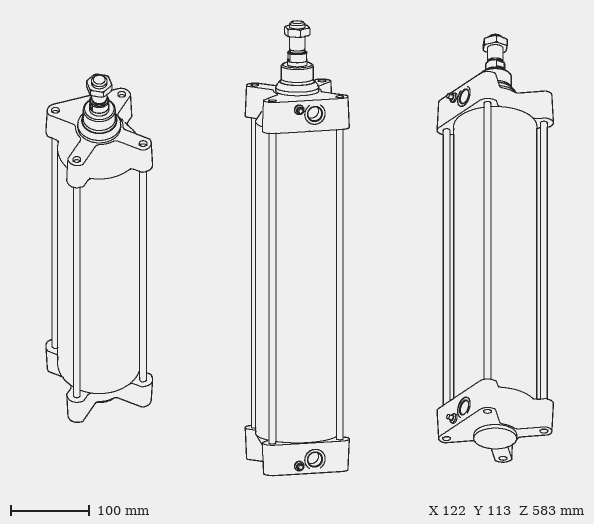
import cadquery as cq
import math

TOTAL_HEIGHT = 583.0
REAR_BOSS_HEIGHT = 5.0
CAP_HEIGHT = 40.0
FRONT_CAP_TOP = 493.0
NOSE_TOP = 527.5
ROD_SHOULDER_TOP = 533.0
FLATS_BOTTOM = 534.5
FLATS_TOP = 543.0
SHANK_TOP = 544.5
RELIEF_TOP = 547.5
NUT_BOTTOM = 566.5
NUT_HEIGHT = 10.0

TUBE_DIAMETER = 106.0
TIE_ROD_DIAMETER = 9.0
TIE_ROD_OFFSET = 44.5

LOBE_RADIUS = 12.0
SHOULDER_RADIUS = 4.0
CAP_DRAFT = 2.0
CONE_TOP_RADIUS = 30.5
CONE_FILLET = 6.0
TIE_HOLE_DIAMETER = 10.0
TIE_HOLE_DEPTH = 6.0

PORT_Y = -9.0
PORT_DROP = 18.0
PORT_DIAMETER = 18.0
PORT_MOUTH_DIAMETER = 20.0
PORT_DEPTH = 17.5
PORT_SEAT_DIAMETER = 27.0
PORT_SEAT_DEPTH = 1.0

SCREW_Y = 12.0
SCREW_DROP = 11.0
SCREW_HEAD_DIAMETER = 12.0
SCREW_HEAD_CHAMFER = 2.0
SCREW_TIP_DIAMETER = 6.0
SCREW_HEAD_X = -59.5
SCREW_ROOT = 3.0
SCREW_TIP_X = -65.5

BOSS_DIAMETER = 55.0
BOSS_RIM_HEIGHT = 4.5
BOSS_EDGE_WIDTH = 1.0
BOSS_EDGE_HEIGHT = 3.0
COLLAR_DIAMETER = 45.0
COLLAR_TOP = 505.5
NOSE_DIAMETER = 41.0
NOSE_FOOT_FLARE = 1.0
NOSE_FOOT_HEIGHT = 3.5
NOSE_CHAMFER = 2.0

ROD_DIAMETER = 25.0
SHANK_DIAMETER = 24.5
FLATS_WIDTH = 21.5
THREAD_DIAMETER = 20.0
RELIEF_DIAMETER = 18.0
THREAD_CHAMFER = 2.5
SHANK_CHAMFER = 1.0
NUT_WIDTH = 29.0
NUT_CHAMFER = 1.0

TUBE_RADIUS = TUBE_DIAMETER / 2
CAP_FACE = TIE_ROD_OFFSET + LOBE_RADIUS
FRONT_CAP_BOTTOM = FRONT_CAP_TOP - CAP_HEIGHT
MIDDLE_HEIGHT = (FRONT_CAP_TOP + REAR_BOSS_HEIGHT) / 2
TIE_ROD_POINTS = [(sx * TIE_ROD_OFFSET, sy * TIE_ROD_OFFSET) for sx in (-1, 1) for sy in (-1, 1)]


def cylinder(diameter, bottom, top):
    return cq.Workplane("XY").workplane(offset=bottom).circle(diameter / 2).extrude(top - bottom)


def cylinder_along_x(diameter, y, z, start, end):
    return cq.Workplane("YZ", origin=(start, y, z)).circle(diameter / 2).extrude(end - start)


def make_cap_arms():
    """Drafted diagonal arms with rounded ends, and the -X side filled up to a flat face."""
    face = CAP_FACE
    notch = LOBE_RADIUS * math.sqrt(2)
    shoulder = face - notch
    outline = [
        (notch, 0), (face, shoulder), (face, face), (shoulder, face),
        (0, notch), (-shoulder, face), (-face, face),
        (-face, -face), (-shoulder, -face), (0, -notch),
        (shoulder, -face), (face, -face), (face, -shoulder),
    ]
    arms = (
        cq.Workplane("XY").workplane(offset=FRONT_CAP_BOTTOM)
        .polyline(outline).close().extrude(CAP_HEIGHT, taper=CAP_DRAFT)
    )
    for x, y in outline:
        is_notch = 0 in (x, y)
        if is_notch:
            continue
        is_outer_corner = abs(x) == abs(y)
        radius = LOBE_RADIUS if is_outer_corner else SHOULDER_RADIUS
        nearest = cq.selectors.NearestToPointSelector((x, y, FRONT_CAP_BOTTOM + CAP_HEIGHT / 2))
        arms = arms.edges("not #Z").edges(nearest).fillet(radius)
    return arms


def revolve_profile(points):
    """Solid of revolution about Z from (radius, height) points."""
    return cq.Workplane("XZ").polyline(points).close().revolve(360, (0, 0, 0), (0, 1, 0))


def make_port_cutter():
    """Air port bored from the -X face: shallow round seat, then a chamfered hole."""
    z = FRONT_CAP_TOP - PORT_DROP
    seat_x = -CAP_FACE + PORT_SEAT_DEPTH
    mouth_depth = (PORT_MOUTH_DIAMETER - PORT_DIAMETER) / 2
    seat = cylinder_along_x(PORT_SEAT_DIAMETER, PORT_Y, z, -CAP_FACE, seat_x)
    hole = cylinder_along_x(PORT_DIAMETER, PORT_Y, z, seat_x, -CAP_FACE + PORT_DEPTH)
    mouth = (
        cq.Workplane("YZ", origin=(seat_x, PORT_Y, z))
        .circle(PORT_MOUTH_DIAMETER / 2).extrude(mouth_depth, taper=45)
    )
    return seat.union(hole).union(mouth)


def make_valve_screw():
    """Cushion screw standing out of the -X face: chamfered head and thin tip."""
    z = FRONT_CAP_TOP - SCREW_DROP
    head = (
        cylinder_along_x(SCREW_HEAD_DIAMETER, SCREW_Y, z, SCREW_HEAD_X, -CAP_FACE + SCREW_ROOT)
        .faces("<X").chamfer(SCREW_HEAD_CHAMFER)
    )
    return head.union(cylinder_along_x(SCREW_TIP_DIAMETER, SCREW_Y, z, SCREW_TIP_X, SCREW_HEAD_X))


def make_front_cap():
    """Drafted arms around a cone, with ports, valve screw and tie-rod holes; its wide end meets the tube."""
    cone = revolve_profile([
        (0, FRONT_CAP_BOTTOM),
        (TUBE_RADIUS, FRONT_CAP_BOTTOM),
        (CONE_TOP_RADIUS, FRONT_CAP_TOP),
        (0, FRONT_CAP_TOP),
    ])
    cap = make_cap_arms().union(cone)
    cap = cap.edges("%HYPERBOLA").fillet(CONE_FILLET)

    cap = cap.cut(make_port_cutter())
    cap = cap.union(make_valve_screw())

    tie_holes = (
        cq.Workplane("XY").workplane(offset=FRONT_CAP_TOP)
        .pushPoints(TIE_ROD_POINTS).circle(TIE_HOLE_DIAMETER / 2).extrude(-TIE_HOLE_DEPTH)
    )
    return cap.cut(tie_holes)


def make_nose():
    """Stepped guide on the front cap, from the boss up to the rod opening."""
    boss_radius = BOSS_DIAMETER / 2
    rim_top = FRONT_CAP_TOP + BOSS_RIM_HEIGHT
    nose_radius = NOSE_DIAMETER / 2
    return revolve_profile([
        (0, FRONT_CAP_TOP),
        (boss_radius, FRONT_CAP_TOP),
        (boss_radius, rim_top),
        (boss_radius - BOSS_EDGE_WIDTH, rim_top + BOSS_EDGE_HEIGHT),
        (COLLAR_DIAMETER / 2, COLLAR_TOP),
        (nose_radius + NOSE_FOOT_FLARE, COLLAR_TOP),
        (nose_radius, COLLAR_TOP + NOSE_FOOT_HEIGHT),
        (nose_radius, NOSE_TOP - NOSE_CHAMFER),
        (nose_radius - NOSE_CHAMFER, NOSE_TOP),
        (0, NOSE_TOP),
    ])


def make_housing():
    """Tube, tie rods, both end caps, rear boss and nose in one piece, bored for the piston rod."""
    front_cap = make_front_cap()
    rear_cap = front_cap.mirror("XY", (0, 0, MIDDLE_HEIGHT))
    rear_cap_top = REAR_BOSS_HEIGHT + CAP_HEIGHT
    tie_rods = (
        cq.Workplane("XY").workplane(offset=rear_cap_top)
        .pushPoints(TIE_ROD_POINTS).circle(TIE_ROD_DIAMETER / 2).extrude(FRONT_CAP_BOTTOM - rear_cap_top)
    )
    return (
        cylinder(TUBE_DIAMETER, rear_cap_top, FRONT_CAP_BOTTOM)
        .union(front_cap)
        .union(rear_cap)
        .union(tie_rods)
        .union(cylinder(BOSS_DIAMETER, 0, REAR_BOSS_HEIGHT))
        .union(make_nose())
        .cut(cylinder(ROD_DIAMETER, FRONT_CAP_BOTTOM, NOSE_TOP))
    )


def make_piston_rod():
    """Rod with two wrench flats, a thread relief and a threaded end."""
    rod_radius = ROD_DIAMETER / 2
    shank_radius = SHANK_DIAMETER / 2
    thread_radius = THREAD_DIAMETER / 2
    rod = revolve_profile([
        (0, FRONT_CAP_BOTTOM),
        (rod_radius, FRONT_CAP_BOTTOM),
        (rod_radius, ROD_SHOULDER_TOP),
        (shank_radius, ROD_SHOULDER_TOP),
        (shank_radius, SHANK_TOP - SHANK_CHAMFER),
        (shank_radius - SHANK_CHAMFER, SHANK_TOP),
        (RELIEF_DIAMETER / 2, SHANK_TOP),
        (RELIEF_DIAMETER / 2, RELIEF_TOP),
        (thread_radius, RELIEF_TOP),
        (thread_radius, TOTAL_HEIGHT - THREAD_CHAMFER),
        (thread_radius - THREAD_CHAMFER, TOTAL_HEIGHT),
        (0, TOTAL_HEIGHT),
    ])
    between_flats = (
        cq.Workplane("XY").workplane(offset=FLATS_BOTTOM)
        .rect(ROD_DIAMETER, FLATS_WIDTH).extrude(FLATS_TOP - FLATS_BOTTOM)
    )
    return rod.cut(cylinder(ROD_DIAMETER, FLATS_BOTTOM, FLATS_TOP).cut(between_flats))


def make_nut():
    """Hexagonal lock nut with its corners along X, chamfered at both ends."""
    across_corners = NUT_WIDTH / math.cos(math.pi / 6)
    nut_top = NUT_BOTTOM + NUT_HEIGHT
    hexagon = cq.Workplane("XY").workplane(offset=NUT_BOTTOM).polygon(6, across_corners).extrude(NUT_HEIGHT)
    chamfered_blank = cylinder(across_corners, NUT_BOTTOM, nut_top).edges().chamfer(NUT_CHAMFER)
    return hexagon.intersect(chamfered_blank).cut(cylinder(THREAD_DIAMETER, NUT_BOTTOM, nut_top))


housing = make_housing()
piston_rod = make_piston_rod()
nut = make_nut()

result = cq.Compound.makeCompound([housing.val(), piston_rod.val(), nut.val()])